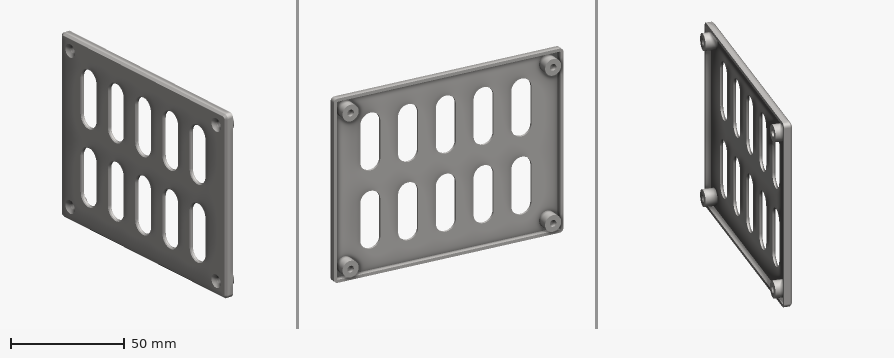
import cadquery as cq

length = 115.6
height = 89.6
thickness = 4.0
wall = 1.5
corner_radius = 2.0
edge_chamfer = 1.0

boss_diameter = 8.1
boss_projection = 3.0
screw_inset = 6.8
screw_hole_diameter = 3.2
countersink_diameter = 6.5
countersink_angle = 90

slot_columns = 5
slot_rows = 2
slot_end_margin = 19.8
slot_pitch_z = 38.0
slot_width = 10.0
slot_centre_distance = 18.0
slot_chamfer = 0.5

slot_length = slot_centre_distance + slot_width
slot_pitch_x = (length - 2 * slot_end_margin) / (slot_columns - 1)
screw_spacing_x = length - 2 * screw_inset
screw_spacing_z = height - 2 * screw_inset


def at_screws(plane):
    """Place the four screw positions on a plane."""
    return plane.rarray(screw_spacing_x, screw_spacing_z, 2, 2)


def make_tray():
    """Rounded plate, chamfered round the front and hollowed from the back."""
    tray = cq.Workplane("XZ").rect(length, height).extrude(thickness)
    tray = tray.edges("|Y").fillet(corner_radius)
    tray = tray.faces("<Y").chamfer(edge_chamfer)
    pocket = cq.Workplane("XZ").rect(length - 2 * wall, height - 2 * wall).extrude(thickness - wall)
    pocket = pocket.edges("|Y").fillet(corner_radius - wall)
    return tray.cut(pocket)


def add_bosses(body):
    """Raise the screw bosses from the tray floor."""
    floor = cq.Workplane("XZ", origin=(0, wall - thickness, 0))
    boss_height = thickness - wall + boss_projection
    bosses = at_screws(floor).circle(boss_diameter / 2).extrude(-boss_height)
    return body.union(bosses)


def cut_slots(body):
    """Cut the slot grid through the tray floor and bevel the slot rims on the front face."""
    grid = cq.Workplane("XZ").rarray(slot_pitch_x, slot_pitch_z, slot_columns, slot_rows)
    slots = grid.slot2D(slot_length, slot_width, 90).extrude(thickness)
    body = body.cut(slots)

    half_field_x = slot_columns * slot_pitch_x / 2
    half_field_z = slot_rows * slot_pitch_z / 2
    slot_field = cq.selectors.BoxSelector(
        (-half_field_x, -2 * thickness, -half_field_z),
        (half_field_x, 0, half_field_z),
    )
    return body.faces("<Y").edges(slot_field).chamfer(slot_chamfer)


def drill_screw_holes(body):
    """Drill through floor and bosses, countersunk from the front face."""
    front = body.faces("<Y").workplane(origin=(0, 0, 0))
    return at_screws(front).cskHole(screw_hole_diameter, countersink_diameter, countersink_angle)


tray = make_tray()
tray_with_bosses = add_bosses(tray)
slotted_tray = cut_slots(tray_with_bosses)
result = drill_screw_holes(slotted_tray)